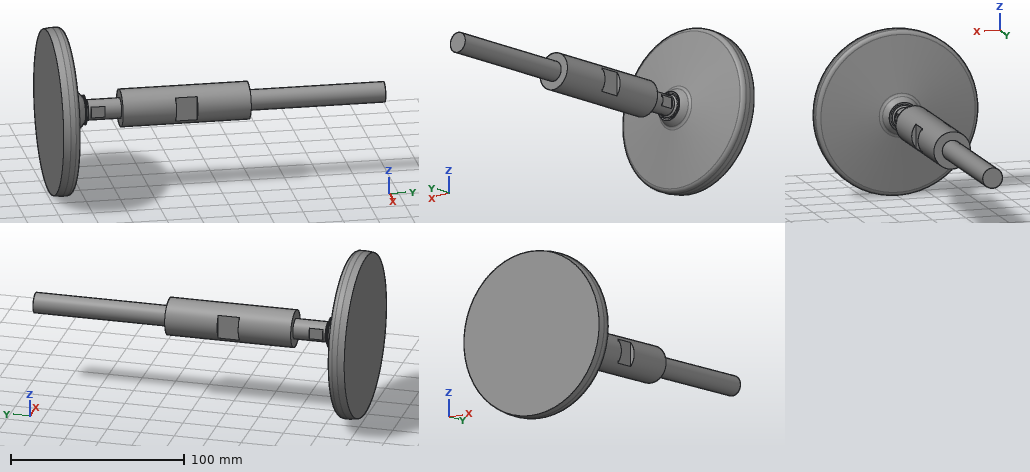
import cadquery as cq
import math

TOTAL_LENGTH = 197.0

FOOT_DIAMETER = 98.0
UNDERSIDE_INSET = 0.5
DRAFT_HEIGHT = 4.1
RIM_HEIGHT = 7.3
RIM_ROUNDING = 2.8
HUB_BASE_RADIUS = 13.0
HUB_BASE_HEIGHT = 15.4
HUB_LOW_RADIUS = 11.2
HUB_LOW_HEIGHT = 16.4
HUB_TOP_RADIUS = 7.7
HUB_TOP_HEIGHT = 20.3
HUB_BULGE = 0.3
LIP_RADIUS = 8.7
LIP_HEIGHT = 20.9
LIP_THICKNESS = 0.2
SEAL_RADIUS = 6.9
SOCKET_FLOOR = 15.8

ROD_DIAMETER = 12.0
NECK_RADIUS = 5.1
COLLAR_BOTTOM = 22.5
ROD_FLAT_BOTTOM = 24.0
ROD_FLAT_LENGTH = 8.0
ROD_FLAT_WIDTH = 10.0

SLEEVE_DIAMETER = 22.0
SLEEVE_BOTTOM = 41.8
SLEEVE_LENGTH = 75.3
SLEEVE_FLAT_LENGTH = 12.6
SLEEVE_FLAT_WIDTH = 17.0


def cylinder(diameter, start, end):
    """Solid cylinder along +Y between two Y positions."""
    plane = cq.Plane(origin=(0, start, 0), xDir=(1, 0, 0), normal=(0, 1, 0))
    return cq.Workplane(plane).circle(diameter / 2).extrude(end - start)


def cut_flats(body, diameter, across, start, length):
    """Cut a pair of wrench flats facing -X and +X."""
    depth = diameter - across
    for side in (-1, 1):
        cutter = cq.Workplane("XY").box(depth, length, diameter)
        body = body.cut(cutter.translate((side * (across + depth) / 2, start + length / 2, 0)))
    return body


def make_foot():
    """Round foot with a conical top, a curved hub, a thin lip and a socket for the rod neck."""
    rim_radius = FOOT_DIAMETER / 2
    cone_run = rim_radius - RIM_ROUNDING - HUB_BASE_RADIUS
    cone_rise = HUB_BASE_HEIGHT - RIM_HEIGHT
    to_hub = math.atan2(cone_rise, -cone_run)
    normal = to_hub - math.acos(RIM_ROUNDING / math.hypot(cone_run, cone_rise))

    def rim_point(angle):
        return (
            rim_radius - RIM_ROUNDING * (1 - math.cos(angle)),
            RIM_HEIGHT + RIM_ROUNDING * math.sin(angle),
        )

    hub_run = HUB_LOW_RADIUS - HUB_TOP_RADIUS
    hub_rise = HUB_TOP_HEIGHT - HUB_LOW_HEIGHT
    hub_slant = math.hypot(hub_run, hub_rise)
    hub_middle = (
        (HUB_LOW_RADIUS + HUB_TOP_RADIUS) / 2 + HUB_BULGE * hub_rise / hub_slant,
        (HUB_LOW_HEIGHT + HUB_TOP_HEIGHT) / 2 + HUB_BULGE * hub_run / hub_slant,
    )

    lip_top = LIP_HEIGHT + LIP_THICKNESS
    foot = (
        cq.Workplane("XY")
        .lineTo(rim_radius - UNDERSIDE_INSET, 0)
        .lineTo(rim_radius, DRAFT_HEIGHT)
        .lineTo(rim_radius, RIM_HEIGHT)
        .threePointArc(rim_point(normal / 2), rim_point(normal))
        .lineTo(HUB_BASE_RADIUS, HUB_BASE_HEIGHT)
        .tangentArcPoint((HUB_LOW_RADIUS, HUB_LOW_HEIGHT), relative=False)
        .threePointArc(hub_middle, (HUB_TOP_RADIUS, HUB_TOP_HEIGHT))
        .lineTo(HUB_TOP_RADIUS, LIP_HEIGHT)
        .lineTo(LIP_RADIUS, LIP_HEIGHT)
        .lineTo(LIP_RADIUS, lip_top)
        .lineTo(SEAL_RADIUS, lip_top)
        .lineTo(NECK_RADIUS, COLLAR_BOTTOM)
        .lineTo(0, COLLAR_BOTTOM)
        .close()
        .revolve(360, (0, 0, 0), (0, 1, 0))
    )
    return foot.cut(cylinder(2 * NECK_RADIUS, SOCKET_FLOOR, TOTAL_LENGTH))


def make_rod():
    """Long rod with wrench flats near the foot and a neck that sits in the foot's socket."""
    shaft = cylinder(ROD_DIAMETER, COLLAR_BOTTOM, TOTAL_LENGTH)
    shaft = cut_flats(shaft, ROD_DIAMETER, ROD_FLAT_WIDTH, ROD_FLAT_BOTTOM, ROD_FLAT_LENGTH)
    return shaft.union(cylinder(2 * NECK_RADIUS, SOCKET_FLOOR, COLLAR_BOTTOM))


def make_sleeve():
    """Sleeve around the rod, with wrench flats at mid-length."""
    top = SLEEVE_BOTTOM + SLEEVE_LENGTH
    sleeve = cylinder(SLEEVE_DIAMETER, SLEEVE_BOTTOM, top)
    flat_start = SLEEVE_BOTTOM + (SLEEVE_LENGTH - SLEEVE_FLAT_LENGTH) / 2
    sleeve = cut_flats(sleeve, SLEEVE_DIAMETER, SLEEVE_FLAT_WIDTH, flat_start, SLEEVE_FLAT_LENGTH)
    return sleeve.cut(cylinder(ROD_DIAMETER, SLEEVE_BOTTOM, top))


foot = make_foot()
rod = make_rod()
sleeve = make_sleeve()

result = cq.Compound.makeCompound([foot.val(), rod.val(), sleeve.val()])